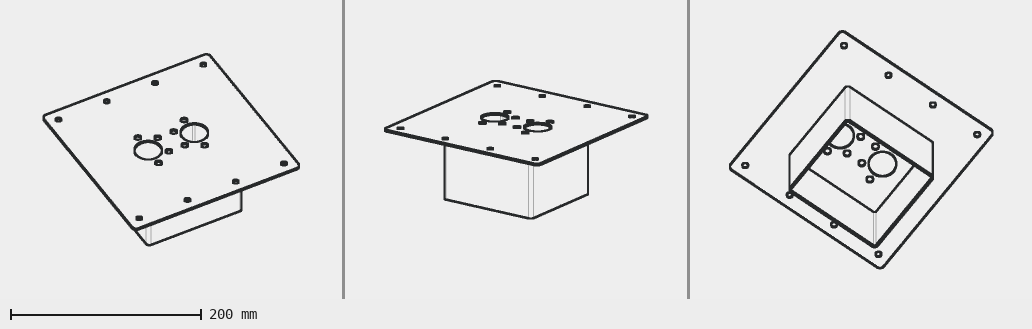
import cadquery as cq

plate_side = 200.0
plate_thickness = 2.0
plate_corner_radius = 5.0

total_height = 82.0
tube_width = 104.5
tube_depth = 114.5
tube_wall = 2.0
tube_corner_radius = 4.0
tube_height = total_height - plate_thickness

fixing_diameter = 6.0
fixing_column_spacing = 174.0
fixing_pitch = 58.0
fixing_rows = 4

port_diameter = 29.0
port_spacing = 55.5
screw_diameter = 7.0
side_screw_spacing = 44.5
inner_screw_spacing_x = 24.0
inner_screw_spacing_y = 19.2


def rounded_block(width, depth, height, corner_radius):
    """Block standing on Z = 0 with rounded vertical edges."""
    block = cq.Workplane("XY").box(width, depth, height, centered=(True, True, False))
    return block.edges("|Z").fillet(corner_radius)


def drill_grid(body, spacing_x, spacing_y, columns, rows, diameter):
    """Drill a centred grid of holes through the plate."""
    return (
        body.faces(">Z").workplane(origin=(0, 0, total_height))
        .rarray(spacing_x, spacing_y, columns, rows)
        .hole(diameter, plate_thickness)
    )


tube = rounded_block(tube_width, tube_depth, tube_height, tube_corner_radius)
cavity = rounded_block(
    tube_width - 2 * tube_wall,
    tube_depth - 2 * tube_wall,
    tube_height,
    tube_corner_radius - tube_wall,
)
plate = rounded_block(plate_side, plate_side, plate_thickness, plate_corner_radius)
body = tube.cut(cavity).union(plate.translate((0, 0, tube_height)))

body = drill_grid(body, fixing_column_spacing, fixing_pitch, 2, fixing_rows, fixing_diameter)

body = drill_grid(body, port_spacing, port_spacing, 1, 2, port_diameter)
body = drill_grid(body, side_screw_spacing, port_spacing, 2, 2, screw_diameter)
body = drill_grid(body, inner_screw_spacing_x, inner_screw_spacing_y, 2, 2, screw_diameter)

result = body